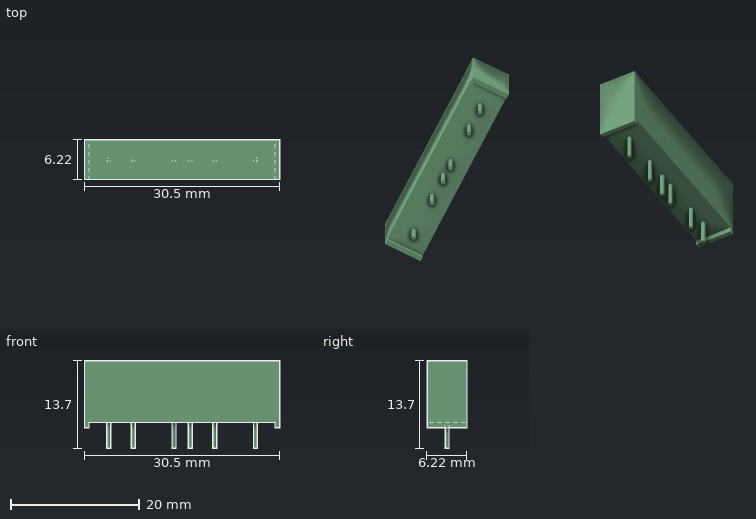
import cadquery as cq

length = 30.48
width = 6.22
housing_height = 10.5
foot_length = 0.75
foot_height = 0.82

total_height = 13.7
pin_diameter = 0.65
grid_divisions = 24
grid_pitch = length / grid_divisions
pin_grid_positions = [-9, -6, -1, 1, 4, 9]

pin_length = total_height - (housing_height - foot_height)


def make_housing():
    """Extrude the front outline, with its shallow gap between the feet, across the width."""
    half_length = length / 2
    foot_inner_x = half_length - foot_length
    top_z = housing_height - foot_height
    outline = [
        (-half_length, top_z),
        (half_length, top_z),
        (half_length, -foot_height),
        (foot_inner_x, -foot_height),
        (foot_inner_x, 0),
        (-foot_inner_x, 0),
        (-foot_inner_x, -foot_height),
        (-half_length, -foot_height),
    ]
    return cq.Workplane("XZ").polyline(outline).close().extrude(width / 2, both=True)


def make_pin(x):
    """Make a round pin hanging from the underside of the housing."""
    return cq.Workplane("XY").center(x, 0).circle(pin_diameter / 2).extrude(-pin_length)


housing = make_housing()
pins = [make_pin(position * grid_pitch) for position in pin_grid_positions]

result = cq.Compound.makeCompound([housing.val(), *[pin.val() for pin in pins]])